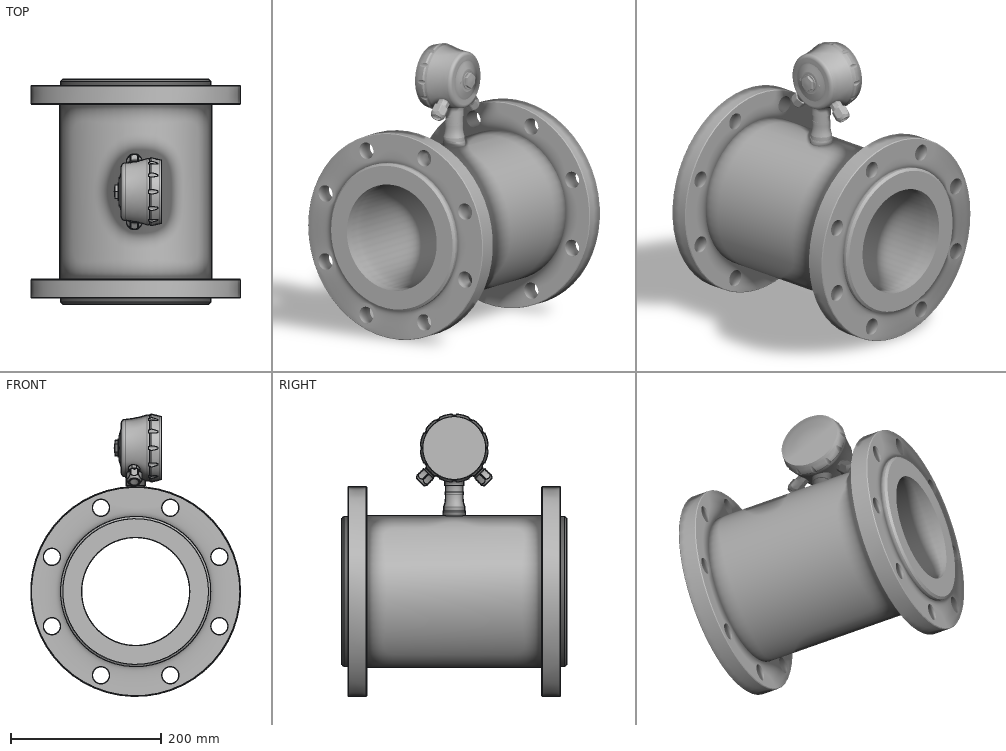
import cadquery as cq
import math

tube_length = 300.0
bore_diameter = 143.6
tube_diameter = 202.7

flange_diameter = 279.4
flange_thickness = 25.4
flange_chamfer = 1.0
raised_face_diameter = 200.0
raised_face_height = 8.3
raised_face_rim_width = 3.0
raised_face_rim_height = 3.0
bolt_circle_diameter = 241.3
bolt_hole_diameter = 22.4
bolt_count = 8

stem_foot_radius = 15.0
stem_foot_bevel_bottom = 105.0
stem_foot_bevel_width = 0.4
stem_foot_top = 107.4
stem_ring_radius = 14.2
stem_ring_top = 112.5
stem_flare_middle_z = 119.0
stem_flare_middle_radius = 12.4
stem_band_radius = 12.0
stem_band_bottom = 128.9
stem_band_top = 132.5
stem_neck_radius = 11.75
stem_collar_bottom = 141.0
stem_collar_radius = 12.8
stem_collar_top = 148.5
stem_socket_radius = 14.2
stem_socket_z = 154.0

head_axis_z = 191.0
back_face_x = -19.2
back_face_radius = 33.4
body_shoulder_x = -13.8
body_shoulder_radius = 38.2
body_middle_x = 0.0
body_middle_radius = 40.1
body_end_x = 15.0
body_end_radius = 44.0

back_cone_radius = 26.0
back_seat_x = -22.4
back_seat_radius = 15.4
plug_ring_radius = 11.75
plug_across_corners = 20.8
plug_hex_start_x = -23.6
plug_bevel_start_x = -27.1
plug_face_x = -27.4
plug_face_radius = 10.0
plug_tip_x = -28.5
pin_circle_radius = 17.0
pin_across_corners = 3.46
pin_end_x = -22.4

lid_rim_start_x = 18.6
lid_rim_peak_x = 20.6
lid_rim_radius = 45.37
lid_taper_end_x = 31.7
lid_taper_end_radius = 42.7
lid_end_x = 34.6
lid_end_radius = 83.7 / 2
scallop_count = 12
scallop_radius = 3.4
scallop_floor_radius = 43.1
scallop_start_x = 17.3

gland_x = -1.8
gland_tilt = 45.0
gland_neck_across_corners = 16.69
gland_neck_sides = 8
gland_neck_start = 30.0
gland_ring_start = 45.7
gland_ring_diameter = 16.0
gland_nut_across_flats = 18.7
gland_nut_diameter = 20.8
gland_nut_start = 48.3
gland_nut_end = 64.0
gland_nut_end_radius = 7.5
gland_nut_bevel_slope = 1.7
gland_hole_diameter = 12.0
gland_hole_depth = 12.0


def revolve_about_y(points):
    """Revolve an outline of (radius, y) points around the tube axis."""
    outline = cq.Workplane("XY").polyline(points).close()
    return outline.revolve(360, (0, 0, 0), (0, 1, 0))


def make_tube():
    """Solid tube body, ending inside the two flanges."""
    half_length = tube_length / 2 - raised_face_height - flange_thickness / 2
    return cq.Workplane("XZ").circle(tube_diameter / 2).extrude(half_length, both=True)


def make_flange():
    """Flange with raised face at the +Y end of the tube."""
    face_y = tube_length / 2
    front_y = face_y - raised_face_height
    back_y = front_y - flange_thickness
    rim = flange_diameter / 2
    face = raised_face_diameter / 2
    flange = revolve_about_y([
        (0, back_y),
        (rim - flange_chamfer, back_y),
        (rim, back_y + flange_chamfer),
        (rim, front_y - flange_chamfer),
        (rim - flange_chamfer, front_y),
        (face, front_y),
        (face, face_y - raised_face_rim_height),
        (face - raised_face_rim_width, face_y),
        (0, face_y),
    ])
    holes = (
        cq.Workplane("XZ")
        .polarArray(bolt_circle_diameter / 2, 180 / bolt_count, 360, bolt_count)
        .circle(bolt_hole_diameter / 2)
        .extrude(-tube_length)
    )
    return flange.cut(holes)


def make_stem():
    """Turned stem that carries the head, rooted inside the tube wall."""
    root_z = (bore_diameter + tube_diameter) / 4
    outline = (
        cq.Workplane("XZ")
        .moveTo(0, root_z)
        .lineTo(stem_foot_radius, root_z)
        .lineTo(stem_foot_radius, stem_foot_bevel_bottom)
        .lineTo(stem_foot_radius - stem_foot_bevel_width, stem_foot_top)
        .lineTo(stem_ring_radius, stem_foot_top)
        .lineTo(stem_ring_radius, stem_ring_top)
        .threePointArc(
            (stem_flare_middle_radius, stem_flare_middle_z),
            (stem_band_radius, stem_band_bottom),
        )
        .lineTo(stem_band_radius, stem_band_top)
        .lineTo(stem_neck_radius, stem_band_top)
        .lineTo(stem_neck_radius, stem_collar_bottom)
        .lineTo(stem_collar_radius, stem_collar_bottom)
        .lineTo(stem_collar_radius, stem_collar_top)
        .tangentArcPoint((stem_socket_radius, stem_socket_z), relative=False)
        .lineTo(0, stem_socket_z)
        .close()
    )
    return outline.revolve(360, (0, 0, 0), (0, 1, 0))


def head_plane(x):
    """Plane across the head axis at x, with local axes along Y and Z."""
    return cq.Workplane("YZ", origin=(x, 0, head_axis_z))


def make_head():
    """Housing, back cone, plug collar and lid as one turned shape."""
    shoulder_depth = body_shoulder_x - back_face_x
    shoulder_width = body_shoulder_radius - back_face_radius
    shoulder_bulge = (
        body_shoulder_x - shoulder_depth * math.cos(math.pi / 4),
        back_face_radius + shoulder_width * math.sin(math.pi / 4),
    )
    outline = (
        cq.Workplane("XZ", origin=(0, 0, head_axis_z))
        .moveTo(plug_hex_start_x, 0)
        .lineTo(plug_hex_start_x, plug_ring_radius)
        .lineTo(back_seat_x, plug_ring_radius)
        .lineTo(back_seat_x, back_seat_radius)
        .lineTo(back_face_x, back_cone_radius)
        .lineTo(back_face_x, back_face_radius)
        .threePointArc(shoulder_bulge, (body_shoulder_x, body_shoulder_radius))
        .threePointArc((body_middle_x, body_middle_radius), (body_end_x, body_end_radius))
        .lineTo(lid_rim_start_x, body_end_radius)
        .lineTo(lid_rim_peak_x, lid_rim_radius)
        .lineTo(lid_taper_end_x, lid_taper_end_radius)
        .lineTo(lid_end_x, lid_end_radius)
        .lineTo(lid_end_x, 0)
        .close()
    )
    head = outline.revolve(360, (0, 0, 0), (1, 0, 0))
    scallops = (
        head_plane(scallop_start_x)
        .polarArray(scallop_floor_radius + scallop_radius, 0, 360, scallop_count)
        .circle(scallop_radius)
        .extrude(lid_end_x - scallop_start_x)
    )
    return head.cut(scallops)


def make_plug():
    """Hexagonal blind plug with a shallow conical face, and two locking pins."""
    hexagon = (
        head_plane(plug_hex_start_x)
        .transformed(rotate=(0, 0, 90))
        .polygon(6, plug_across_corners)
        .extrude(plug_tip_x - plug_hex_start_x)
    )
    corner_radius = plug_across_corners / 2
    envelope = cq.Workplane("XZ", origin=(0, 0, head_axis_z)).polyline([
        (plug_tip_x, 0),
        (plug_face_x, plug_face_radius),
        (plug_bevel_start_x, corner_radius),
        (plug_hex_start_x, corner_radius),
        (plug_hex_start_x, 0),
    ]).close().revolve(360, (0, 0, 0), (1, 0, 0))
    pins = (
        head_plane(back_face_x)
        .polarArray(pin_circle_radius, 0, 360, 2)
        .polygon(6, pin_across_corners)
        .extrude(pin_end_x - back_face_x)
    )
    return hexagon.intersect(envelope).union(pins)


def make_gland(side):
    """Cable gland on the +Y (side = 1) or -Y (side = -1) flank of the head."""
    tilt = math.radians(gland_tilt)
    direction = cq.Vector(0, side * math.cos(tilt), -math.sin(tilt))

    def plane_at(distance):
        center = cq.Vector(gland_x, 0, head_axis_z) + direction * distance
        return cq.Workplane(cq.Plane(center, (1, 0, 0), direction))

    neck = (
        plane_at(gland_neck_start)
        .transformed(rotate=(0, 0, 180 / gland_neck_sides))
        .polygon(gland_neck_sides, gland_neck_across_corners)
        .extrude(gland_ring_start - gland_neck_start)
    )
    ring = (
        plane_at(gland_ring_start)
        .circle(gland_ring_diameter / 2)
        .extrude(gland_nut_start - gland_ring_start)
    )
    nut_length = gland_nut_end - gland_nut_start
    nut_across_corners = gland_nut_across_flats / math.cos(math.pi / 6)
    nut = plane_at(gland_nut_start).polygon(6, nut_across_corners).extrude(nut_length)
    corner_radius = gland_nut_diameter / 2
    bevel_height = (corner_radius - gland_nut_end_radius) * gland_nut_bevel_slope
    straight = plane_at(gland_nut_start).circle(corner_radius).extrude(nut_length - bevel_height)
    bevel = (
        plane_at(gland_nut_end - bevel_height)
        .circle(corner_radius)
        .workplane(offset=bevel_height)
        .circle(gland_nut_end_radius)
        .loft()
    )
    nut = nut.intersect(straight.union(bevel))
    hole = (
        plane_at(gland_nut_end - gland_hole_depth)
        .circle(gland_hole_diameter / 2)
        .extrude(gland_hole_depth)
    )
    return neck.union(ring).union(nut).cut(hole)


flange = make_flange()
meter = make_tube().union(flange).union(flange.mirror("XZ")).union(make_stem())
bore = cq.Workplane("XZ").circle(bore_diameter / 2).extrude(tube_length, both=True)
result = meter.cut(bore).union(make_head()).union(make_plug())
for side in (1, -1):
    result = result.union(make_gland(side))